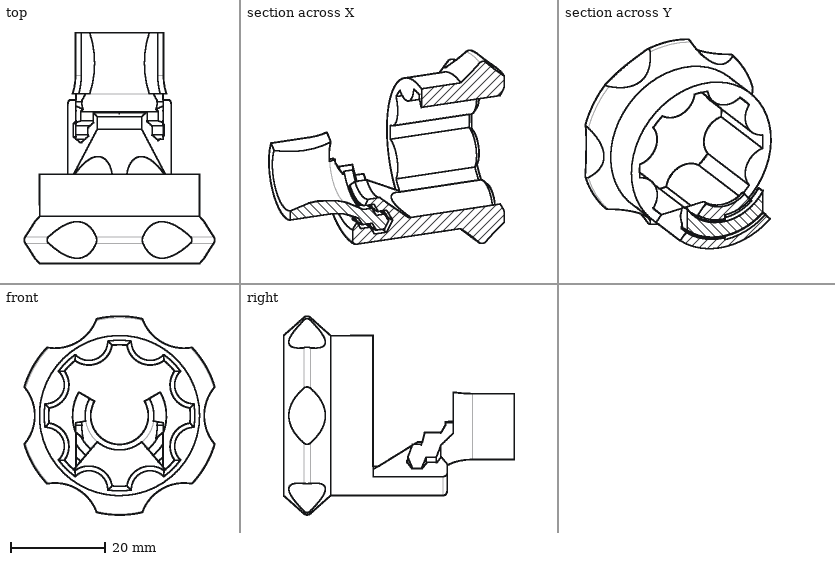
import cadquery as cq
import math

tongue_direction = 90.0
TAN_30 = math.tan(math.radians(30))

sleeve_radius = 17.0
bore_radius = 15.0
sleeve_length = 19.0
knob_length = 10.0
knob_ridge_radius = 21.46
knob_ridge_fillet = 1.0
grip_count = 6
grip_radius = 9.4
grip_depth_radius = 18.0

rod_count = 8
rod_radius = 5.0
rod_end_y = 24.0
bore_chamfer = 1.0

clip_end_y = 49.0
ring_start_y = 36.0
ring_radius = 9.35
ring_half_angle = 120.0
waist_radius = 6.1
mouth_radius = 7.3
flare_start_y = 40.0
flare_radius = 12.9
tail_half_angle = 80.8
tail_half_width = 9.25
tail_inner_end_y = 32.25
barb_step = 1.7
barb_run = barb_step * TAN_30
barb_neck_y = 30.25
barb_length = 1.9
tail_outer_radius = 12.8
tail_shoulder_y = 32.4

tongue_half_width = 11.0
tongue_half_angle = math.degrees(math.asin(tongue_half_width / sleeve_radius))
tongue_end_y = 34.75
tongue_end_fillet = 1.0
lip_start_y = 28.5
lip_end_y = 31.2
lip_radius = mouth_radius
loose_clearance = 0.7
snug_clearance = 0.25
groove_inner_radius = ring_radius - loose_clearance
lip_chamfer_run = (groove_inner_radius - lip_radius) * TAN_30
end_peak_radius = 11.9
end_peak_y = 33.7
end_face_radius = 13.5

ramp_angle = 40.0
ramp_z = -3.55
ramp_end_y = 33.45
ramp_stop_z = -2.0
ramp_reach = 2.0


def revolve_sector(profile, half_angle):
    """Revolve a (radius, y) profile about Y, centred on the -Z direction."""
    solid = profile.revolve(2 * half_angle, (0, 0, 0), (0, 1, 0))
    return solid.rotate((0, 0, 0), (0, 1, 0), tongue_direction - half_angle)


def cylinder(radius, start_y, end_y, x=0.0, z=0.0):
    plane = cq.Workplane("XZ", origin=(0, start_y, 0))
    return plane.center(x, z).circle(radius).extrude(start_y - end_y)


def cone(start_radius, end_radius, start_y, end_y):
    outline = [(0, start_y), (start_radius, start_y), (end_radius, end_y), (0, end_y)]
    return cq.Workplane("XY").polyline(outline).close().revolve(360, (0, 0, 0), (0, 1, 0))


def make_knob_ring():
    """Double-coned knob with a rounded ridge, running into the plain sleeve."""
    outline = [
        (0, 0),
        (sleeve_radius, 0),
        (knob_ridge_radius, knob_length / 2),
        (sleeve_radius, knob_length),
        (sleeve_radius, sleeve_length),
        (0, sleeve_length),
    ]
    ring = cq.Workplane("XY").polyline(outline).close().revolve(360, (0, 0, 0), (0, 1, 0))
    ridge = cq.selectors.RadiusNthSelector(-1)
    ring = ring.edges("%CIRCLE").edges(ridge).fillet(knob_ridge_fillet)

    grip_distance = grip_depth_radius + grip_radius
    for index in range(grip_count):
        angle = 2 * math.pi * index / grip_count
        grip_x = grip_distance * math.cos(angle)
        grip_z = grip_distance * math.sin(angle)
        ring = ring.cut(cylinder(grip_radius, 0, knob_length, grip_x, grip_z))

    ring = ring.cut(cylinder(bore_radius, 0, sleeve_length))
    return ring.cut(cone(bore_radius + bore_chamfer, bore_radius, 0, bore_chamfer))


def make_rod(angle, end_y):
    """Rod centred on the sleeve's outer radius, with a chamfered front end."""
    rod = cylinder(rod_radius, 0, end_y, sleeve_radius).faces("<Y").chamfer(bore_chamfer)
    wall = cylinder(sleeve_radius, 0, end_y)
    return rod.intersect(wall).rotate((0, 0, 0), (0, 1, 0), angle)


def barb_outline():
    """Hooked end of the tail, from its neck to the shoulder behind it."""
    barb_front_y = barb_neck_y - barb_run
    barb_back_y = barb_front_y - barb_length
    inner = ring_radius + barb_step
    tip = inner + barb_step
    outer = tail_outer_radius + barb_step
    return [
        (ring_radius, barb_neck_y),
        (inner, barb_front_y),
        (inner, barb_back_y),
        (tip, barb_back_y - barb_run),
        (outer, barb_back_y),
        (outer, barb_front_y),
        (tail_outer_radius, barb_neck_y),
        (tail_outer_radius, tail_shoulder_y),
    ]


def make_groove(clearance):
    """Ring-shaped space for the barb, grown by the clearance on all sides."""
    shoulder_top_y = tail_shoulder_y + (tail_outer_radius - ring_radius) * TAN_30
    outline = barb_outline() + [(ring_radius, shoulder_top_y)]
    profile = cq.Workplane("XY").polyline(outline).close().offset2D(clearance, "intersection")
    return profile.revolve(360, (0, 0, 0), (0, 1, 0))


def make_tongue():
    """Sector of the sleeve wall reaching back, with a lip and a groove for the barb."""
    outline = [
        (sleeve_radius, knob_length),
        (bore_radius, knob_length),
        (bore_radius, sleeve_length),
        (lip_radius, lip_start_y),
        (lip_radius, lip_end_y),
        (groove_inner_radius, lip_end_y + lip_chamfer_run),
        (ring_radius, lip_end_y + lip_chamfer_run),
        (end_peak_radius, end_peak_y),
        (end_face_radius, tongue_end_y),
        (sleeve_radius - tongue_end_fillet, tongue_end_y),
    ]
    profile = (
        cq.Workplane("XY")
        .polyline(outline)
        .radiusArc((sleeve_radius, tongue_end_y - tongue_end_fillet), tongue_end_fillet)
        .close()
    )
    tongue = revolve_sector(profile, tongue_half_angle)
    loose_half = cq.Workplane("XY", origin=(-sleeve_radius / 2, 0, 0))
    loose_half = loose_half.box(sleeve_radius, 2 * tongue_end_y, 2 * sleeve_radius)
    tongue = tongue.cut(make_groove(snug_clearance))
    return tongue.cut(make_groove(loose_clearance).intersect(loose_half))


def make_knob():
    knob = make_knob_ring().union(make_tongue())
    rod_pitch = 360 / rod_count
    for index in range(rod_count):
        angle = (index + 0.5) * rod_pitch
        beside_tongue = abs(angle - tongue_direction) < rod_pitch
        knob = knob.union(make_rod(angle, rod_end_y if beside_tongue else sleeve_length))
    return knob


def flare_point(y):
    """Point on the flare arc, which leaves the ring's outside tangentially."""
    run = flare_start_y - y
    return (ring_radius + flare_radius - math.sqrt(flare_radius**2 - run**2), y)


def make_ramp(side):
    """Cutter for one upper edge of the tail; side is -1 or +1 along X."""
    inner_x = tail_half_width - ramp_reach
    inner_z = ramp_z - ramp_reach * math.tan(math.radians(ramp_angle))
    end_outline = [
        (side * tail_half_width, ramp_z),
        (side * inner_x, inner_z),
        (side * inner_x, 0),
        (side * tail_half_width, 0),
    ]
    stop_outline = [
        (barb_neck_y - barb_run, inner_z),
        (ramp_end_y + (inner_z - ramp_z) * TAN_30, inner_z),
        (ramp_end_y + (ramp_stop_z - ramp_z) * TAN_30, ramp_stop_z),
        (ramp_end_y + (ramp_stop_z - ramp_z) * TAN_30, 0),
        (barb_neck_y - barb_run, 0),
    ]
    above_ramp = cq.Workplane("XZ").polyline(end_outline).close().extrude(-clip_end_y)
    before_stop = (
        cq.Workplane("YZ").polyline(stop_outline).close().extrude(tail_half_width, both=True)
    )
    return above_ramp.intersect(before_stop)


def clip_profile():
    """Waisted bore, flared outside and barbed tail in one outline."""
    flare_end_y = tail_shoulder_y + barb_run
    profile = (
        cq.Workplane("XY")
        .moveTo(ring_radius, clip_end_y)
        .lineTo(mouth_radius, clip_end_y)
        .threePointArc((waist_radius, (ring_start_y + clip_end_y) / 2), (mouth_radius, ring_start_y))
        .lineTo(ring_radius, tail_inner_end_y)
    )
    for corner in barb_outline():
        profile = profile.lineTo(*corner)
    return (
        profile.lineTo(*flare_point(flare_end_y))
        .threePointArc(flare_point((flare_end_y + flare_start_y) / 2), flare_point(flare_start_y))
        .close()
    )


def make_tail_trim():
    """Space around the tail: everything in front of the ring but the tail's own width."""
    trim_size = 2 * ring_start_y
    trim = cq.Workplane("XY").box(trim_size, trim_size, trim_size)
    edge_z = -tail_half_width * math.tan(math.radians(90 - tail_half_angle))
    envelope_outline = [
        (0, 0),
        (tail_half_width, edge_z),
        (tail_half_width, -trim_size),
        (-tail_half_width, -trim_size),
        (-tail_half_width, edge_z),
    ]
    envelope = cq.Workplane("XZ").polyline(envelope_outline).close().extrude(trim_size, both=True)
    return trim.cut(envelope)


def make_clip():
    """Open ring whose lower part carries on forward as a flat-sided, barbed tail."""
    clip = revolve_sector(clip_profile(), ring_half_angle).cut(make_tail_trim())
    for side in (-1, 1):
        clip = clip.cut(make_ramp(side))
    return clip


knob = make_knob()
clip = make_clip()

result = cq.Compound.makeCompound([knob.val(), clip.val()])